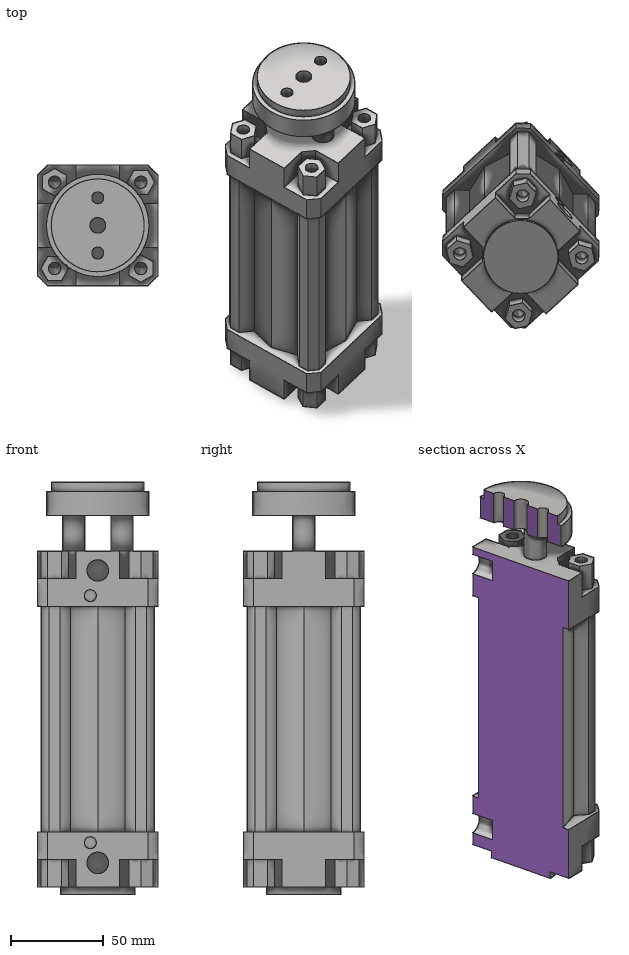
import cadquery as cq
import math

total_height = 222
boss_height = 4.0
boss_diameter = 40

head_size = 65.0
head_chamfer = 5.5
head_height = 29.7
lower_head_bottom = boss_height
lower_head_top = lower_head_bottom + head_height
upper_head_top = 185.0
upper_head_bottom = upper_head_top - head_height

pocket_depth = 14.9
pocket_wall_offset = 11.8
pocket_chamfer = 5.3
nut_spacing = 46.5
nut_across_flats = 12.9
nut_hole_diameter = 6.7
nut_hole_depth = pocket_depth
drill_point_angle = 118

port_diameter = 11.5
port_depth = 13.3
upper_port_inset = 10.5
lower_port_inset = 13.0
upper_port_z = upper_head_top - upper_port_inset
lower_port_z = lower_head_bottom + lower_port_inset
screw_diameter = 6.5
screw_recess_depth = 1.3
screw_x = -4.0
screw_inset = 5.8

barrel_half = 30.5
barrel_corner = 26.2
groove_half_width = 20.5
groove_depth = 5.8
ridge_drop = 1.8

plate_diameter = 55.0
plate_bottom = 204.0
pilot_diameter = 50.0
pilot_height = 5.0
rod_diameter = 12.0
rod_spacing = 26.0
plate_center_hole_diameter = 8.5
plate_side_hole_diameter = 6.5
plate_side_hole_spacing = 29.7


def cylinder(diameter, bottom, top, x=0, y=0):
    """Upright cylinder between two heights."""
    return cq.Workplane("XY", origin=(x, y, bottom)).circle(diameter / 2).extrude(top - bottom)


def make_nut():
    """Solid hexagonal nut standing on Z = 0."""
    corner_diameter = nut_across_flats / math.cos(math.radians(30))
    return cq.Workplane("XY").polygon(6, corner_diameter).extrude(pocket_depth)


def make_nut_hole():
    """Blind hole with a conical bottom, reaching down from the top of a nut that stands on Z = 0."""
    radius = nut_hole_diameter / 2
    point_height = radius / math.tan(math.radians(drill_point_angle / 2))
    wall_bottom = pocket_depth - nut_hole_depth
    profile = (
        cq.Workplane("XZ")
        .moveTo(0, pocket_depth)
        .lineTo(radius, pocket_depth)
        .lineTo(radius, wall_bottom)
        .lineTo(0, wall_bottom - point_height)
        .close()
    )
    return profile.revolve(360, (0, 0, 0), (0, 1, 0))


def make_corner_pocket():
    """Pocket in the +X +Y corner, open outward and upward, with its floor at Z = 0."""
    pocket_size = head_size / 2 - pocket_wall_offset
    return (
        cq.Workplane("XY", origin=(pocket_wall_offset, pocket_wall_offset, 0))
        .rect(pocket_size, pocket_size, centered=False)
        .extrude(pocket_depth)
        .edges("|Z and <X and <Y")
        .chamfer(pocket_chamfer)
    )


def make_head():
    """Upper head with its inner face at Z = 0 and its nuts flush with the outer face."""
    head = (
        cq.Workplane("XY")
        .rect(head_size, head_size)
        .extrude(head_height)
        .edges("|Z")
        .chamfer(head_chamfer)
    )
    floor_z = head_height - pocket_depth
    nut_place = (nut_spacing / 2, nut_spacing / 2, floor_z)
    for quarter in range(4):
        turn = 90 * quarter
        pocket = make_corner_pocket().translate((0, 0, floor_z))
        nut = make_nut().translate(nut_place)
        hole = make_nut_hole().translate(nut_place)
        head = head.cut(pocket.rotate((0, 0, 0), (0, 0, 1), turn))
        head = head.union(nut.rotate((0, 0, 0), (0, 0, 1), turn))
        head = head.cut(hole.rotate((0, 0, 0), (0, 0, 1), turn))
    return head


def make_barrel():
    """Barrel between the heads; one side's outline is repeated at each quarter turn."""
    groove_floor = barrel_half - groove_depth
    groove_floor_half = groove_half_width - groove_depth
    side = [
        (-barrel_corner, -barrel_half),
        (-groove_half_width, -barrel_half),
        (-groove_floor_half, -groove_floor),
        (0, ridge_drop - barrel_half),
        (groove_floor_half, -groove_floor),
        (groove_half_width, -barrel_half),
        (barrel_corner, -barrel_half),
    ]
    outline = []
    for _ in range(4):
        outline += side
        side = [(-y, x) for x, y in side]
    barrel_length = upper_head_bottom - lower_head_top
    return cq.Workplane("XY", origin=(0, 0, lower_head_top)).polyline(outline).close().extrude(barrel_length)


def make_front_hole(diameter, depth, x, z):
    """Blind hole going inward from the -Y face of a head."""
    return cq.Workplane("XZ", origin=(x, -head_size / 2, z)).circle(diameter / 2).extrude(-depth)


def make_housing():
    """Barrel, both heads with their nuts, and the round boss underneath."""
    head = make_head()
    upper_head = head.translate((0, 0, upper_head_bottom))
    lower_head = head.mirror("XY").translate((0, 0, lower_head_top))
    housing = make_barrel().union(upper_head).union(lower_head)
    housing = housing.union(cylinder(boss_diameter, 0, boss_height))
    for port_z in (lower_port_z, upper_port_z):
        housing = housing.cut(make_front_hole(port_diameter, port_depth, 0, port_z))
    for screw_z in (lower_head_top - screw_inset, upper_head_bottom + screw_inset):
        housing = housing.cut(make_front_hole(screw_diameter, screw_recess_depth, screw_x, screw_z))
    return housing


def make_piston():
    """Round plate with a raised pilot, three through holes and two rods down to the upper head."""
    pilot_bottom = total_height - pilot_height
    piston = cylinder(plate_diameter, plate_bottom, pilot_bottom)
    piston = piston.union(cylinder(pilot_diameter, pilot_bottom, total_height))
    piston = piston.cut(cylinder(plate_center_hole_diameter, plate_bottom, total_height))
    for side in (-1, 1):
        hole_y = side * plate_side_hole_spacing / 2
        rod_x = side * rod_spacing / 2
        piston = piston.cut(cylinder(plate_side_hole_diameter, plate_bottom, total_height, y=hole_y))
        piston = piston.union(cylinder(rod_diameter, upper_head_top, plate_bottom, x=rod_x))
    return piston


housing = make_housing()
piston = make_piston()

result = cq.Compound.makeCompound([housing.val(), piston.val()])